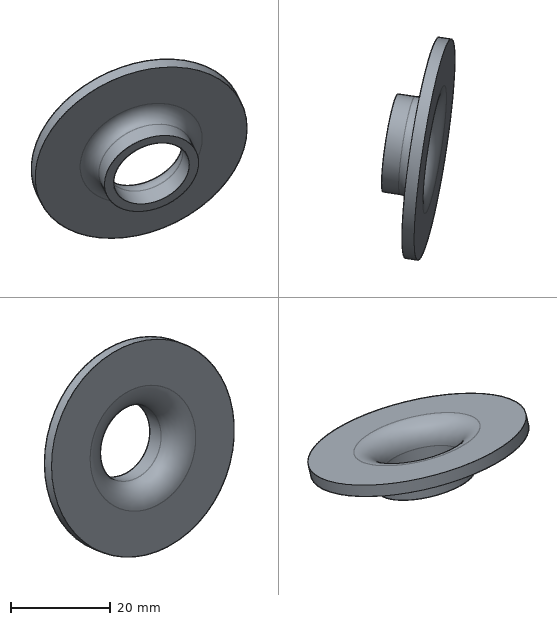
import cadquery as cq
import math

flange_diameter = 45.0
flange_thickness = 2.5
total_length = 9.0
neck_diameter = 20.0
bore_diameter = 16.0
mouth_radius = 5.0
root_radius = 2.95

flange_r = flange_diameter / 2
neck_r = neck_diameter / 2
bore_r = bore_diameter / 2
mouth_r = bore_r + mouth_radius
root_r = neck_r + root_radius
root_end = flange_thickness + root_radius
diagonal = math.sqrt(0.5)

section = (
    cq.Workplane("XY")
    .moveTo(0, mouth_r)
    .lineTo(0, flange_r)
    .lineTo(flange_thickness, flange_r)
    .lineTo(flange_thickness, root_r)
    .threePointArc(
        (root_end - root_radius * diagonal, root_r - root_radius * diagonal),
        (root_end, neck_r),
    )
    .lineTo(total_length, neck_r)
    .lineTo(total_length, bore_r)
    .lineTo(mouth_radius, bore_r)
    .threePointArc(
        (mouth_radius * (1 - diagonal), mouth_r - mouth_radius * diagonal),
        (0, mouth_r),
    )
    .close()
)

result = section.revolve(360, (0, 0, 0), (1, 0, 0))